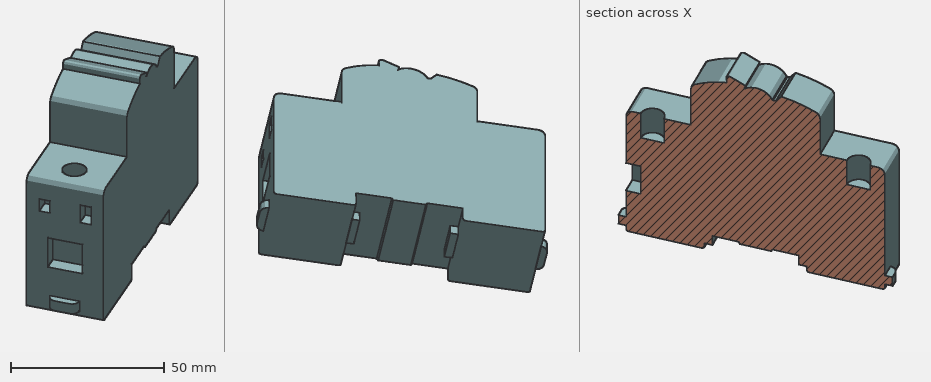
import cadquery as cq
import math

WIDTH = 26.7
LENGTH = 90.0
SHOULDER_Z = 50.0
CROWN_LENGTH = 45.0

CROWN_CORNER_Z = 66.2
BACK_CROWN_MID = (15.2, 68.9)
BACK_CROWN_END = (9.0, 70.15)
FRONT_CROWN_START = (-10.0, 70.8)
FRONT_CROWN_MID = (-15.8, 69.4)

GROOVE_FLOOR_Z = 67.8
GROOVE_BACK_Y = 7.1
GROOVE_FRONT_Y = 6.2

HUB_CENTER_Y = 0.2
HUB_CENTER_Z = 64.8
HUB_RADIUS = 6.5
HUB_BACK_Y = 5.9
HUB_FRONT_Y = -3.8

LEVER_HEEL_Y = -3.4
LEVER_TOP_Z = 73.56
LEVER_TIP_Y = -9.05
LEVER_TIP_RADIUS = 1.2
LEVER_SLOPE = math.radians(23.5)

RECESS_LENGTH = 35.4
RECESS_Z = 6.0
PAD_Z = 5.2
PAD_TOP_LENGTH = 11.8
PAD_BOTTOM_LENGTH = 10.8

SHOULDER_RADIUS = 2.6
CROWN_RADIUS = 2.6
FOOT_RADIUS = 1.0

LATCH_TIP_Y = 47.6
LATCH_INNER_Y = 15.0
LATCH_WIDTH = 10.4
LATCH_THICKNESS = 3.75
LATCH_TAPER = math.radians(18)
LATCH_TIP_RADIUS = 2.5

SCREW_HOLE_DIAMETER = 8.0
SCREW_HOLE_DEPTH = 10.0
SCREW_HOLE_Y = 35.8

WIRE_ENTRY = (0.1, 22.4, 12.0, 11.2, 5.0)
SMALL_SLOT = (-7.0, 40.0, 3.6, 4.6, 5.0)
TALL_SLOT = (7.2, 39.6, 3.8, 6.7, 5.0)

HALF_LENGTH = LENGTH / 2
HALF_CROWN = CROWN_LENGTH / 2
HALF_RECESS = RECESS_LENGTH / 2


def hub_point(y):
    """Point on the upper side of the rocker hub at the given Y."""
    return (y, HUB_CENTER_Z + math.sqrt(HUB_RADIUS**2 - (y - HUB_CENTER_Y) ** 2))


def lever_tip_point(angle):
    """Point on the lever tip, with the angle measured from +Z toward +Y."""
    tip_center_z = LEVER_TOP_Z - LEVER_TIP_RADIUS
    return (
        LEVER_TIP_Y + LEVER_TIP_RADIUS * math.sin(angle),
        tip_center_z + LEVER_TIP_RADIUS * math.cos(angle),
    )


def housing_blank():
    """Extrude the sharp-cornered side outline over the full width."""
    tip_start = lever_tip_point(LEVER_SLOPE)
    lever_rise = (LEVER_HEEL_Y - tip_start[0]) * math.tan(LEVER_SLOPE)
    outline = (
        cq.Workplane("YZ", origin=(-WIDTH / 2, 0, 0))
        .moveTo(HALF_LENGTH, 0)
        .lineTo(HALF_LENGTH, SHOULDER_Z)
        .lineTo(HALF_CROWN, SHOULDER_Z)
        .lineTo(HALF_CROWN, CROWN_CORNER_Z)
        .threePointArc(BACK_CROWN_MID, BACK_CROWN_END)
        .lineTo(GROOVE_BACK_Y, GROOVE_FLOOR_Z)
        .lineTo(GROOVE_FRONT_Y, GROOVE_FLOOR_Z)
        .lineTo(*hub_point(HUB_BACK_Y))
        .threePointArc(hub_point(HUB_CENTER_Y), hub_point(HUB_FRONT_Y))
        .lineTo(LEVER_HEEL_Y, tip_start[1] - lever_rise)
        .lineTo(*tip_start)
        .threePointArc(lever_tip_point(0), lever_tip_point(-math.pi / 2))
        .lineTo(*FRONT_CROWN_START)
        .threePointArc(FRONT_CROWN_MID, (-HALF_CROWN, CROWN_CORNER_Z))
        .lineTo(-HALF_CROWN, SHOULDER_Z)
        .lineTo(-HALF_LENGTH, SHOULDER_Z)
        .lineTo(-HALF_LENGTH, 0)
        .lineTo(-HALF_RECESS, 0)
        .lineTo(-HALF_RECESS, RECESS_Z)
        .lineTo(-PAD_TOP_LENGTH / 2, RECESS_Z)
        .lineTo(-PAD_BOTTOM_LENGTH / 2, PAD_Z)
        .lineTo(PAD_BOTTOM_LENGTH / 2, PAD_Z)
        .lineTo(PAD_TOP_LENGTH / 2, RECESS_Z)
        .lineTo(HALF_RECESS, RECESS_Z)
        .lineTo(HALF_RECESS, 0)
        .close()
    )
    return outline.extrude(WIDTH)


def round_corners(body):
    """Round the shoulder, crown and foot edges at both ends."""
    corners = (
        (HALF_LENGTH, SHOULDER_Z, SHOULDER_RADIUS),
        (HALF_CROWN, CROWN_CORNER_Z, CROWN_RADIUS),
        (HALF_LENGTH, 0, FOOT_RADIUS),
        (HALF_RECESS, 0, FOOT_RADIUS),
    )
    for y, z, radius in corners:
        for side in (-1, 1):
            edge = cq.selectors.NearestToPointSelector((0, side * y, z))
            body = body.edges(edge).fillet(radius)
    return body


def latch():
    """Rail latch at the +Y end, with a tapered and rounded outer tip."""
    half_width = LATCH_WIDTH / 2
    half_tip = half_width - (LATCH_TIP_Y - HALF_LENGTH) * math.tan(LATCH_TAPER)
    outline = [
        (-half_width, LATCH_INNER_Y),
        (half_width, LATCH_INNER_Y),
        (half_width, HALF_LENGTH),
        (half_tip, LATCH_TIP_Y),
        (-half_tip, LATCH_TIP_Y),
        (-half_width, HALF_LENGTH),
    ]
    bar = (
        cq.Workplane("XY", origin=(0, 0, RECESS_Z - LATCH_THICKNESS))
        .polyline(outline)
        .close()
        .extrude(LATCH_THICKNESS)
    )
    return bar.faces(">Y").edges("|Z").fillet(LATCH_TIP_RADIUS)


def screw_holes():
    """Blind round holes in both shoulders."""
    return (
        cq.Workplane("XY", origin=(0, 0, SHOULDER_Z - SCREW_HOLE_DEPTH))
        .pushPoints([(0, SCREW_HOLE_Y), (0, -SCREW_HOLE_Y)])
        .circle(SCREW_HOLE_DIAMETER / 2)
        .extrude(SCREW_HOLE_DEPTH)
    )


def end_opening(x, z, width, height, depth):
    """Rectangular blind opening that starts at the -Y end face."""
    center_y = -HALF_LENGTH + depth / 2
    return cq.Workplane("XY").box(width, depth, height).translate((x, center_y, z))


result = round_corners(housing_blank())
back_latch = latch()
result = result.union(back_latch).union(back_latch.mirror("XZ"))
result = result.cut(screw_holes())
for opening in (WIRE_ENTRY, SMALL_SLOT, TALL_SLOT):
    result = result.cut(end_opening(*opening))